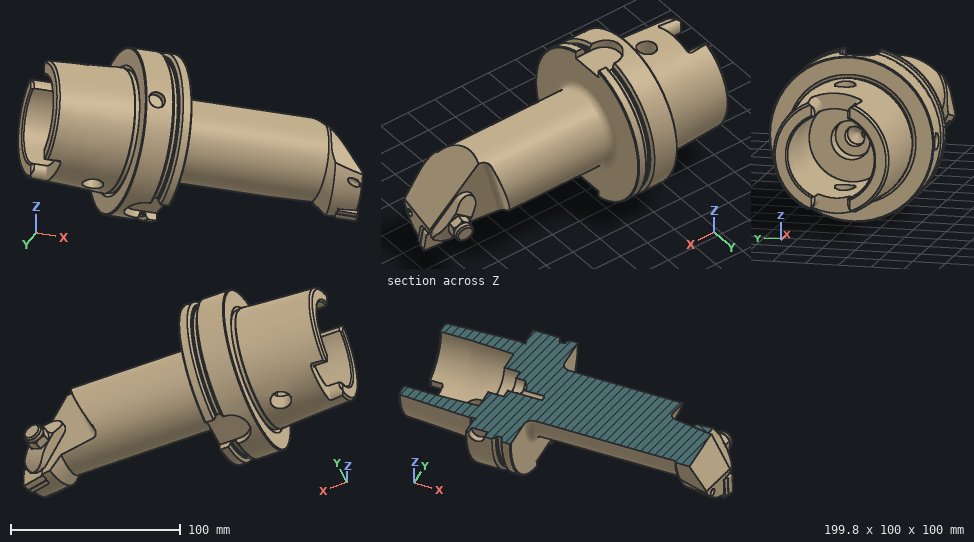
import cadquery as cq
import math


shank_end_x = -49.8
taper_radius = 37.5
taper_ratio = 0.05
shank_chamfer = 1.4
relief_start_x = -2.4
relief_depth = 0.5
face_groove_radius = 39.2
face_groove_depth = 0.8

bore_radius = 26.4
bore_chamfer = 1.0
bore_step_depth = 20.0
bore_floor_radius = 25.2
bore_floor_x = -2.0
tube_bore_radius = 11.8
tube_bore_depth = 10.0
drill_radius = 6.0
drill_depth = 6.0
drill_tip_angle = 118.0
coolant_radius = 1.8
coolant_offset_y = -4.0
coolant_depth = 16.0
cross_hole_radius = 6.2
cross_hole_x = -15.2

slot_half_width = 10.0
slot_rounding = 5.5
slot_shoulder_z = 32.2
slot_inner_z = 16.0
slot_reach_y = 18.0
slot_corner_radius = 1.5
slot_mouth_chamfer = 1.5
upper_slot_floor_x = -35.0
lower_slot_floor_x = -40.2

flange_radius = 50.0
flange_width = 29.0
flange_chamfer = 0.5
groove_radius = 46.2
groove_floor_start_x = 18.4
groove_floor_width = 3.5
groove_flank_width = 1.4
groove_wall_depth = 1.5
groove_corner = 0.8
groove_corner_rise = 0.4
keyway_half_width = 11.0
keyway_start_x = 5.2
keyway_floor_z = 44.0
chip_hole_radius = 5.0
chip_hole_x = 7.0
chip_hole_depth = 4.5

bar_radius = 25.0
bar_root_fillet = 5.2
bar_end_x = 123.7

head_half_width = 26.2
head_bottom_z = -33.0
head_back_y = 16.0
head_end_x = 154.0
top_slope_start_x = 116.0
top_slope_angle = 54.7
end_relief_angle = 5.0
end_face_x = 147.3
end_face_y = 2.0
end_face_z = -19.5
outlet_radius = 2.0
outlet_angle = 30.0
outlet_x = 140.7
outlet_y = -22.4
outlet_z = -21.0
outlet_depth = 8.0

tip = (150.1, 0.0, -35.2)
rake_slope_x = 0.15
rake_slope_z = 0.1
pocket_wall_offset = -56.5
pocket_wall_angle = 16.0
pocket_fillet = 4.0

insert_edge = 13.0
insert_corner_angle = 80.0
approach_angle = 5.0
insert_nose_radius = 0.8
insert_thickness = 4.8
shim_thickness = 3.2
shim_inset = 0.4

screw_x = -17.5
screw_y = 21.8
clamp_half_width = 6.8
clamp_half_length = 18.4
clamp_thickness = 7.5
clamp_tail_thickness = 2.8
clamp_tail_ramp = 12.0
clamp_nose_thickness = 0.8
clamp_nose_ramp = 16.4
clamp_nose_bulge = 1.2
hex_across_corners = 13.8
hex_turn = 30.0
hex_height = 5.8
hex_chamfer = 0.8
cap_radius = 5.8
cap_height = 3.5
cap_chamfer = 1.0
screw_shank_radius = 3.0
screw_shank_length = 12.0

big = 199.9

rake_plane = cq.Plane(
    origin=tip,
    xDir=(1, -rake_slope_x, 0),
    normal=(-rake_slope_x, -1, rake_slope_z),
)


def make_shank_and_bar():
    """Revolved outline of the shank, flange and bar."""
    end_radius = taper_radius + taper_ratio * shank_end_x
    relief_radius = taper_radius - relief_depth
    corner_radius = groove_radius + groove_corner_rise
    flank_radius = groove_radius + groove_wall_depth
    groove_floor_end_x = groove_floor_start_x + groove_floor_width
    root_arc = bar_root_fillet * (1 - math.sqrt(0.5))
    return (
        cq.Workplane("XY")
        .moveTo(shank_end_x, 0)
        .lineTo(shank_end_x, end_radius - shank_chamfer)
        .lineTo(shank_end_x + shank_chamfer, end_radius)
        .lineTo(relief_start_x, taper_radius)
        .lineTo(relief_start_x + relief_depth, relief_radius)
        .lineTo(face_groove_depth, relief_radius)
        .lineTo(0, face_groove_radius)
        .lineTo(0, flange_radius - flange_chamfer)
        .lineTo(flange_chamfer, flange_radius)
        .lineTo(groove_floor_start_x - groove_flank_width, flange_radius)
        .lineTo(groove_floor_start_x, flank_radius)
        .lineTo(groove_floor_start_x, corner_radius)
        .lineTo(groove_floor_start_x + groove_corner, groove_radius)
        .lineTo(groove_floor_end_x - groove_corner, groove_radius)
        .lineTo(groove_floor_end_x, corner_radius)
        .lineTo(groove_floor_end_x, flank_radius)
        .lineTo(groove_floor_end_x + groove_flank_width, flange_radius)
        .lineTo(flange_width - flange_chamfer, flange_radius)
        .lineTo(flange_width, flange_radius - flange_chamfer)
        .lineTo(flange_width, bar_radius + bar_root_fillet)
        .threePointArc(
            (flange_width + root_arc, bar_radius + root_arc),
            (flange_width + bar_root_fillet, bar_radius),
        )
        .lineTo(bar_end_x, bar_radius)
        .lineTo(bar_end_x, 0)
        .close()
        .revolve(360, (0, 0, 0), (1, 0, 0))
    )


def make_bore():
    """Stepped bore, coolant tube seat and drilled coolant hole."""
    tube_floor_x = bore_floor_x + tube_bore_depth
    drill_end_x = tube_floor_x + drill_depth
    drill_point = drill_radius / math.tan(math.radians(drill_tip_angle / 2))
    bore = (
        cq.Workplane("XY")
        .moveTo(shank_end_x, 0)
        .lineTo(shank_end_x, bore_radius + bore_chamfer)
        .lineTo(shank_end_x + bore_chamfer, bore_radius)
        .lineTo(shank_end_x + bore_step_depth, bore_radius)
        .lineTo(bore_floor_x, bore_floor_radius)
        .lineTo(bore_floor_x, tube_bore_radius)
        .lineTo(tube_floor_x, tube_bore_radius)
        .lineTo(tube_floor_x, drill_radius)
        .lineTo(drill_end_x, drill_radius)
        .lineTo(drill_end_x + drill_point, 0)
        .close()
        .revolve(360, (0, 0, 0), (1, 0, 0))
    )
    coolant_hole = (
        cq.Workplane("YZ", origin=(drill_end_x, coolant_offset_y, 0))
        .circle(coolant_radius)
        .extrude(coolant_depth)
    )
    return bore.union(coolant_hole)


def make_drive_slot(floor_x):
    """Cutter for a slot on the +Z side, with rounded outer edges and a chamfered mouth."""
    arc_start_z = slot_shoulder_z - slot_rounding
    arc_end_y = slot_half_width + slot_rounding
    arc_mid = slot_rounding * (1 - math.sqrt(0.5))
    mid_y = slot_half_width + arc_mid
    mid_z = slot_shoulder_z - arc_mid
    mouth_half_width = slot_half_width + slot_mouth_chamfer
    mouth_end_x = shank_end_x + slot_mouth_chamfer
    mouth = (
        cq.Workplane("XY", origin=(0, 0, slot_inner_z))
        .moveTo(shank_end_x, -mouth_half_width)
        .lineTo(mouth_end_x, -slot_half_width)
        .lineTo(mouth_end_x, slot_half_width)
        .lineTo(shank_end_x, mouth_half_width)
        .close()
        .extrude(slot_shoulder_z - slot_inner_z)
    )
    slot = (
        cq.Workplane("YZ", origin=(shank_end_x, 0, 0))
        .moveTo(-slot_half_width, slot_inner_z)
        .lineTo(slot_half_width, slot_inner_z)
        .lineTo(slot_half_width, arc_start_z)
        .threePointArc((mid_y, mid_z), (arc_end_y, slot_shoulder_z))
        .lineTo(slot_reach_y, slot_shoulder_z)
        .lineTo(slot_reach_y, flange_radius)
        .lineTo(-slot_reach_y, flange_radius)
        .lineTo(-slot_reach_y, slot_shoulder_z)
        .lineTo(-arc_end_y, slot_shoulder_z)
        .threePointArc((-mid_y, mid_z), (-slot_half_width, arc_start_z))
        .close()
        .extrude(floor_x - shank_end_x)
        .faces(">X")
        .edges()
        .fillet(slot_corner_radius)
    )
    return slot.union(mouth)


def make_keyway():
    """Cutter for the round-ended keyway on the +Z side of the flange."""
    arc_center_x = keyway_start_x + keyway_half_width
    return (
        cq.Workplane("XY", origin=(0, 0, keyway_floor_z))
        .moveTo(flange_width, -keyway_half_width)
        .lineTo(arc_center_x, -keyway_half_width)
        .threePointArc((keyway_start_x, 0), (arc_center_x, keyway_half_width))
        .lineTo(flange_width, keyway_half_width)
        .close()
        .extrude(flange_radius - keyway_floor_z)
    )


def turn_over(cutter):
    """Turn a cutter half a turn about the tool axis, onto the -Z side."""
    return cutter.rotate((0, 0, 0), (1, 0, 0), 180)


def make_head():
    """Head widening from the bar through a 45 degree cone, with a slanting round underside."""
    length = head_end_x - bar_end_x
    start = cq.Workplane("YZ", origin=(bar_end_x, 0, 0))
    upper = start.circle(head_half_width).extrude(length)
    lower = (
        start.moveTo(-head_half_width, head_bottom_z)
        .lineTo(head_back_y, head_bottom_z)
        .lineTo(head_back_y, 0)
        .lineTo(-head_half_width, 0)
        .close()
        .extrude(length)
    )
    cone = cq.Workplane(
        cq.Solid.makeCone(
            bar_radius, bar_radius + length, length, cq.Vector(bar_end_x, 0, 0), cq.Vector(1, 0, 0)
        )
    )
    axis = cq.Vector(1, -rake_slope_x, 0)
    underside = cq.Workplane(
        cq.Solid.makeCylinder(
            -head_bottom_z, 2 * big, cq.Vector(end_face_x, end_face_y, 0) - axis * big, axis
        )
    )
    return upper.union(lower).intersect(cone).intersect(underside)


def half_space(origin, x_direction, normal):
    """Large block on the side of a plane that the normal points to."""
    plane = cq.Plane(origin=origin, xDir=x_direction, normal=normal)
    return cq.Workplane(plane).rect(big, big).extrude(big)


def make_top_slope():
    """Cutter for the slope running down from the top of the bar to the tip."""
    angle = math.radians(top_slope_angle)
    return half_space(
        (top_slope_start_x, 0, bar_radius), (0, 1, 0), (math.sin(angle), 0, math.cos(angle))
    )


def make_end_relief():
    """Cutter for the end face, relieved behind both edges of the insert."""
    relief = math.tan(math.radians(end_relief_angle))
    return half_space((end_face_x, end_face_y, end_face_z), (relief, 1, 0), (1, -relief, relief))


def make_chip_pocket():
    """Cutter clearing everything in front of the rake plane, back to a filleted wall."""
    return (
        cq.Workplane(rake_plane)
        .center(pocket_wall_offset, 0)
        .transformed(rotate=(0, 0, -pocket_wall_angle))
        .center(big / 2, 0)
        .rect(big, big)
        .extrude(-big / 2)
        .faces(cq.selectors.DirectionMinMaxSelector(rake_plane.zDir, True))
        .edges(cq.selectors.DirectionMinMaxSelector(rake_plane.xDir, False))
        .fillet(pocket_fillet)
    )


def make_outlet():
    """Slanting coolant outlet in the rounded side of the head."""
    angle = math.radians(outlet_angle)
    direction = cq.Vector(math.cos(angle), math.sin(angle), 0)
    start = cq.Vector(outlet_x, outlet_y, outlet_z) - direction * outlet_depth
    return cq.Workplane(cq.Solid.makeCylinder(outlet_radius, 2 * outlet_depth, start, direction))


def make_rhombic_plate(depth, thickness, inset):
    """Rhombic plate with its leading corner at the tip, starting below the rake plane."""
    first = math.radians(90 + approach_angle)
    second = first + math.radians(insert_corner_angle)
    a = (insert_edge * math.cos(first), insert_edge * math.sin(first))
    b = (insert_edge * math.cos(second), insert_edge * math.sin(second))
    outline = (
        cq.Workplane(rake_plane)
        .workplane(offset=depth)
        .polyline([(0, 0), a, (a[0] + b[0], a[1] + b[1]), b])
        .close()
    )
    if inset:
        outline = outline.offset2D(-inset)
    return outline.extrude(thickness)


def round_plate(plate):
    """Round the four corners of a rhombic plate."""
    return plate.edges(cq.selectors.ParallelDirSelector(rake_plane.zDir)).fillet(insert_nose_radius)


insert = round_plate(make_rhombic_plate(0, insert_thickness, 0))
shim = round_plate(make_rhombic_plate(insert_thickness, shim_thickness, shim_inset))


def make_screw():
    """Hex screw with a cap, standing on the clamp and reaching into the holder."""
    top = cq.Workplane(rake_plane).center(screw_x, screw_y)
    head_plane = top.workplane(offset=-clamp_thickness)
    hexagon = (
        head_plane.transformed(rotate=(0, 0, hex_turn))
        .polygon(6, hex_across_corners)
        .extrude(-hex_height)
    )
    rounding = (
        head_plane.circle(hex_across_corners / 2)
        .extrude(-hex_height)
        .faces(cq.selectors.DirectionMinMaxSelector(rake_plane.zDir, False))
        .chamfer(hex_chamfer)
    )
    cap = (
        top.workplane(offset=-clamp_thickness - hex_height)
        .circle(cap_radius)
        .extrude(-cap_height)
        .faces(cq.selectors.DirectionMinMaxSelector(rake_plane.zDir, False))
        .chamfer(cap_chamfer)
    )
    shank = head_plane.circle(screw_shank_radius).extrude(clamp_thickness + screw_shank_length)
    return hexagon.intersect(rounding).union(cap).union(shank)


screw = make_screw()


def make_clamp():
    """Round-ended clamp along the top slope, with a ramped tail and a rounded nose."""
    ramp_start = clamp_half_length - clamp_nose_ramp
    nose_mid_x = clamp_half_length - clamp_nose_ramp / 2 + clamp_nose_bulge
    nose_mid_z = (clamp_thickness + clamp_nose_thickness) / 2 + clamp_nose_bulge
    base = (
        cq.Workplane(rake_plane)
        .center(screw_x, screw_y)
        .transformed(rotate=(0, 0, -top_slope_angle))
    )
    outline = base.slot2D(2 * clamp_half_length, 2 * clamp_half_width).extrude(-clamp_thickness)
    side = (
        base.transformed(rotate=(-90, 0, 0))
        .moveTo(-clamp_half_length, 0)
        .lineTo(-clamp_half_length, clamp_tail_thickness)
        .lineTo(-clamp_half_length + clamp_tail_ramp, clamp_thickness)
        .lineTo(ramp_start, clamp_thickness)
        .threePointArc((nose_mid_x, nose_mid_z), (clamp_half_length, clamp_nose_thickness))
        .lineTo(clamp_half_length, 0)
        .close()
        .extrude(clamp_half_width, both=True)
    )
    return outline.intersect(side).cut(screw)


clamp = make_clamp()


def make_holder():
    """Shank, flange, bar and head, with seats for the bodies mounted on it."""
    cross_hole = (
        cq.Workplane("XY", origin=(cross_hole_x, 0, 0))
        .circle(cross_hole_radius)
        .extrude(flange_radius, both=True)
    )
    chip_hole = (
        cq.Workplane("XZ", origin=(chip_hole_x, -flange_radius + chip_hole_depth, 0))
        .circle(chip_hole_radius)
        .extrude(flange_radius)
    )
    keyway = make_keyway()
    body = (
        make_shank_and_bar()
        .cut(make_bore())
        .cut(make_drive_slot(upper_slot_floor_x))
        .cut(turn_over(make_drive_slot(lower_slot_floor_x)))
        .cut(keyway)
        .cut(turn_over(keyway))
        .cut(cross_hole)
        .cut(chip_hole)
    )
    return (
        body.union(make_head())
        .cut(make_top_slope())
        .cut(make_end_relief())
        .cut(make_chip_pocket())
        .cut(make_outlet())
        .cut(insert)
        .cut(shim)
        .cut(screw)
    )


holder = make_holder()

result = cq.Compound.makeCompound(
    [body.solids().val() for body in (holder, insert, shim, clamp, screw)]
)